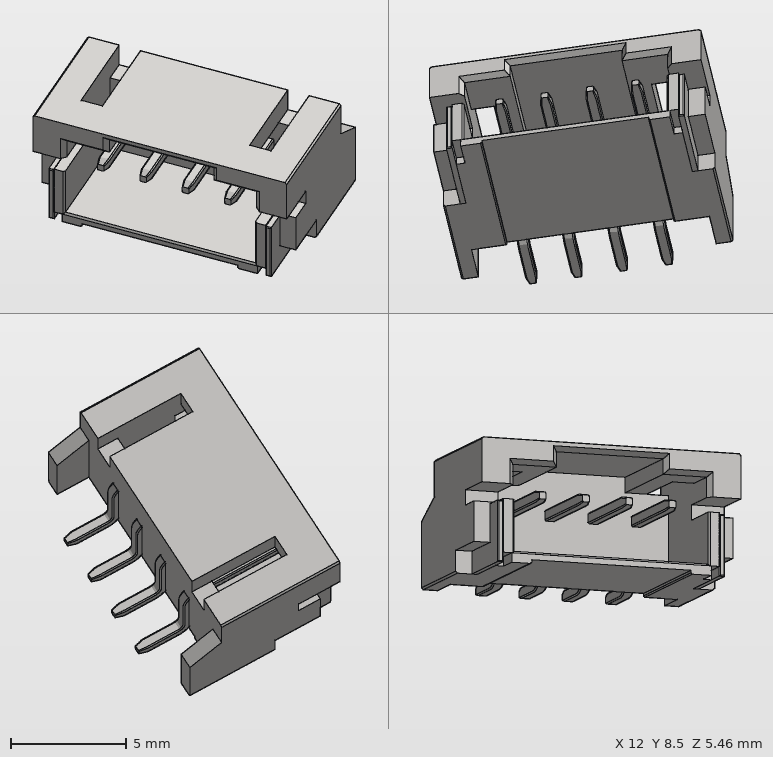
import cadquery as cq
import math


WIDTH = 12.0
HEIGHT = 5.46
BODY_DEPTH = 6.0
EDGE_CHAMFER = 0.08
HALF_WIDTH = WIDTH / 2

WING_THICKNESS = 0.75
WING_END = 7.61
WING_LOW_TOP = 3.0
WING_HIGH_TOP = 3.82

FOOT_HEIGHT = 0.17
FOOT_INNER_X = 3.68
FOOT_CHAMFER = 0.06

CAVITY_DEPTH = 4.99
CAVITY_HALF = 4.49
CAVITY_FLOOR = 0.5
SHOULDER_Z = 4.37
RAISED_HALF = 2.47
RAISED_Z = 5.05
UPPER_LEAD_IN = 0.22
LOWER_LEAD_IN = 0.08

ROOF_SLOT_WIDTH = 1.01
ROOF_SLOT_FRONT = 1.8

NOTCH_BOTTOM = 2.8
NOTCH_TOP = 3.47
NOTCH_DEPTH = 2.1

TAB_THICKNESS = 0.25
TAB_TOP = 2.72
TAB_CHAMFER = 0.05
RECESS_X = HALF_WIDTH - WING_THICKNESS - TAB_THICKNESS
RECESS_DEPTH = 1.01
RECESS_FOOT_DEPTH = 3.3
RECESS_FOOT_HEIGHT = 1.01
CORNER_RELIEF_WIDTH = 0.38
CORNER_RELIEF_HEIGHT = CAVITY_FLOOR - LOWER_LEAD_IN

PIN_COUNT = 4
PIN_PITCH = 2.0
PIN_SIZE = 0.49
PIN_EDGE_CHAMFER = 0.06
PIN_TIP_SIZE = 0.31
PIN_TIP_LENGTH = 0.4
PIN_FRONT = 0.49
PIN_BACK = 8.5
PIN_Z = 3.13
PIN_LEG_BACK = 6.28
PIN_INNER_BEND = 0.28


def box(x0, x1, y0, y1, z0, z1):
    """Box between two opposite corners."""
    return cq.Workplane("XY").box(x1 - x0, y1 - y0, z1 - z0, centered=False).translate((x0, y0, z0))


def extrude_along_y(points, length):
    """Solid with an XZ outline, from Y = 0 to the given length."""
    return cq.Workplane("XZ").polyline(points).close().extrude(-length)


def extrude_along_x(points, x0, x1):
    """Solid with a YZ outline, between two X positions."""
    return cq.Workplane("YZ").workplane(offset=x0).polyline(points).close().extrude(x1 - x0)


def both_sides(solid):
    """A solid on the +X side, and its mirror image on the -X side."""
    return [solid, solid.mirror("YZ")]


def loft_along_y(front_points, y_front, back_points, y_back):
    """Straight-sided transition between two XZ outlines."""
    front = cq.Wire.makePolygon([cq.Vector(x, y_front, z) for x, z in front_points], close=True)
    back = cq.Wire.makePolygon([cq.Vector(x, y_back, z) for x, z in back_points], close=True)
    return cq.Workplane(cq.Solid.makeLoft([front, back], True))


def mirrored_outline(right_half):
    """Closed outline from its right half, listed from bottom to top."""
    return right_half + [(-x, z) for x, z in reversed(right_half)]


def housing_blank():
    """Body and wings, without any inner features."""
    front_outline = mirrored_outline([
        (FOOT_INNER_X, FOOT_HEIGHT),
        (FOOT_INNER_X, FOOT_CHAMFER),
        (FOOT_INNER_X + FOOT_CHAMFER, 0),
        (HALF_WIDTH - EDGE_CHAMFER, 0),
        (HALF_WIDTH, EDGE_CHAMFER),
        (HALF_WIDTH, HEIGHT - EDGE_CHAMFER),
        (HALF_WIDTH - EDGE_CHAMFER, HEIGHT),
    ])
    side_outline = [
        (0, 0),
        (WING_END, 0),
        (WING_END, WING_LOW_TOP),
        (BODY_DEPTH, WING_HIGH_TOP),
        (BODY_DEPTH, HEIGHT),
        (0, HEIGHT),
    ]
    blank = extrude_along_y(front_outline, WING_END)
    blank = blank.intersect(extrude_along_x(side_outline, -HALF_WIDTH, HALF_WIDTH))
    wing_inner_x = HALF_WIDTH - WING_THICKNESS
    return blank.cut(box(-wing_inner_x, wing_inner_x, BODY_DEPTH, WING_END, 0, HEIGHT))


def upper_cavity_outline(growth, bottom):
    """Stepped cavity outline above a given height, grown outward at the sides and roof."""
    return mirrored_outline([
        (CAVITY_HALF + growth, bottom),
        (CAVITY_HALF + growth, SHOULDER_Z + growth),
        (RAISED_HALF + growth, SHOULDER_Z + growth),
        (RAISED_HALF + growth, RAISED_Z + growth),
    ])


def lower_cavity_outline(growth):
    """Lower cavity outline up to the notch, grown outward at the sides and floor."""
    return mirrored_outline([
        (CAVITY_HALF + growth, CAVITY_FLOOR - growth),
        (CAVITY_HALF + growth, NOTCH_BOTTOM),
    ])


def cut_cavity(housing):
    housing = housing.cut(extrude_along_y(upper_cavity_outline(0, CAVITY_FLOOR), CAVITY_DEPTH))
    upper_lead_in = loft_along_y(
        upper_cavity_outline(UPPER_LEAD_IN, NOTCH_TOP), 0,
        upper_cavity_outline(0, NOTCH_TOP), UPPER_LEAD_IN,
    )
    lower_lead_in = loft_along_y(
        lower_cavity_outline(LOWER_LEAD_IN), 0,
        lower_cavity_outline(0), LOWER_LEAD_IN,
    )
    return housing.cut(upper_lead_in).cut(lower_lead_in)


def cut_roof_slots(housing):
    slot = box(CAVITY_HALF - ROOF_SLOT_WIDTH, CAVITY_HALF, ROOF_SLOT_FRONT, BODY_DEPTH, SHOULDER_Z, HEIGHT)
    for side_slot in both_sides(slot):
        housing = housing.cut(side_slot)
    return housing


def cut_side_notch(housing):
    return housing.cut(box(-HALF_WIDTH, HALF_WIDTH, 0, NOTCH_DEPTH, NOTCH_BOTTOM, NOTCH_TOP))


def tab_outline(top):
    """L-shaped YZ outline shared by a solder tab and its recess."""
    return [
        (0, 0),
        (RECESS_FOOT_DEPTH, 0),
        (RECESS_FOOT_DEPTH, RECESS_FOOT_HEIGHT),
        (RECESS_DEPTH, RECESS_FOOT_HEIGHT),
        (RECESS_DEPTH, top),
        (0, top),
    ]


def cut_tab_recesses(housing):
    recess = extrude_along_x(tab_outline(NOTCH_BOTTOM), RECESS_X, HALF_WIDTH)
    corner_relief = box(RECESS_X - CORNER_RELIEF_WIDTH, RECESS_X, 0, RECESS_DEPTH, 0, CORNER_RELIEF_HEIGHT)
    for cutter in both_sides(recess) + both_sides(corner_relief):
        housing = housing.cut(cutter)
    return housing


def make_housing(pins):
    """Complete housing, with a matching passage for every pin."""
    housing = housing_blank()
    housing = cut_cavity(housing)
    housing = cut_roof_slots(housing)
    housing = cut_side_notch(housing)
    housing = cut_tab_recesses(housing)
    for pin in pins:
        housing = housing.cut(pin)
    return housing


def make_tab():
    """Solder tab on the +X side, with its front face chamfered all round."""
    tab = extrude_along_x(tab_outline(TAB_TOP), RECESS_X, RECESS_X + TAB_THICKNESS)
    return tab.faces("<Y").chamfer(TAB_CHAMFER)


def pin_section(size, chamfer, z):
    """Square XZ outline with cut corners, centred on X = 0."""
    half = size / 2
    return mirrored_outline([
        (half - chamfer, z - half),
        (half, z - half + chamfer),
        (half, z + half - chamfer),
        (half - chamfer, z + half),
    ])


def pin_tip(y_root, y_end, z):
    """Tapered end of a pin."""
    tip_chamfer = PIN_EDGE_CHAMFER * PIN_TIP_SIZE / PIN_SIZE
    root_section = pin_section(PIN_SIZE, PIN_EDGE_CHAMFER, z)
    end_section = pin_section(PIN_TIP_SIZE, tip_chamfer, z)
    return loft_along_y(root_section, y_root, end_section, y_end)


def make_pin():
    """Pin on X = 0: forward contact, downward leg and rearward tail."""
    contact_start = PIN_FRONT + PIN_TIP_LENGTH
    tail_end = PIN_BACK - PIN_TIP_LENGTH
    tail_z = PIN_SIZE / 2
    leg_y = PIN_LEG_BACK - PIN_SIZE / 2
    bend = PIN_INNER_BEND + PIN_SIZE / 2
    along_bend = bend * math.sin(math.radians(45))
    bend_sag = bend - along_bend
    centre_line = (
        cq.Workplane("YZ")
        .moveTo(contact_start, PIN_Z)
        .lineTo(leg_y - bend, PIN_Z)
        .threePointArc((leg_y - bend_sag, PIN_Z - bend_sag), (leg_y, PIN_Z - bend))
        .lineTo(leg_y, tail_z + bend)
        .threePointArc((leg_y + bend_sag, tail_z + bend_sag), (leg_y + bend, tail_z))
        .lineTo(tail_end, tail_z)
    )
    section = pin_section(PIN_SIZE, PIN_EDGE_CHAMFER, PIN_Z)
    rod = (
        cq.Workplane("XZ", origin=(0, contact_start, 0))
        .polyline(section).close()
        .sweep(centre_line)
    )
    rod = rod.union(pin_tip(contact_start, PIN_FRONT, PIN_Z))
    return rod.union(pin_tip(tail_end, PIN_BACK, tail_z))


base_pin = make_pin()
pins = []
for index in range(PIN_COUNT):
    pin_x = (index - (PIN_COUNT - 1) / 2) * PIN_PITCH
    pins.append(base_pin.translate((pin_x, 0, 0)))

tabs = both_sides(make_tab())
housing = make_housing(pins)

result = cq.Compound.makeCompound([
    housing.solids().val(),
    *[tab.solids().val() for tab in tabs],
    *[pin.solids().val() for pin in pins],
])